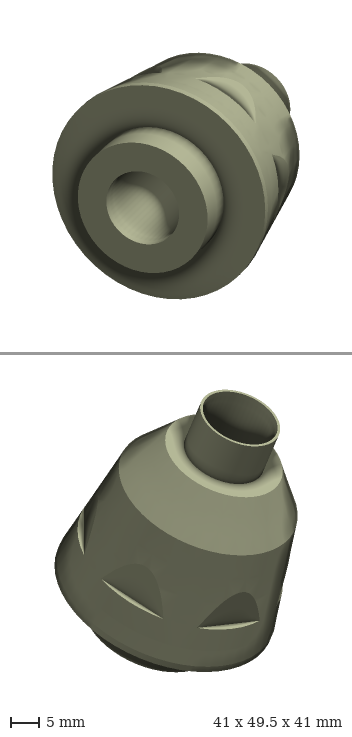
import cadquery as cq

overall_length = 49.5
spigot_length = 7.3
tail_length = 9.0
body_length = overall_length - spigot_length - tail_length
rim_width = 1.25
skirt_end = 4.5
flats_start = 9.0
shoulder_start = 24.5

bore_radius = 14.0 / 2
tail_radius = 15.0 / 2
spigot_radius = 25.0 / 2
rim_radius = 41.0 / 2
skirt_end_radius = 19.95
shoulder_radius = 16.75
body_end_radius = 11.0

flat_count = 6
across_flats = 36.0


def make_turned_body():
    """Revolve the stepped and tapered profile, bore included, about the Y axis."""
    profile = [
        (bore_radius, -spigot_length),
        (spigot_radius, -spigot_length),
        (spigot_radius, 0),
        (rim_radius, 0),
        (rim_radius, rim_width),
        (skirt_end_radius, skirt_end),
        (shoulder_radius, shoulder_start),
        (body_end_radius, body_length),
        (tail_radius, body_length),
        (tail_radius, body_length + tail_length),
        (bore_radius, body_length + tail_length),
    ]
    return cq.Workplane("XY").polyline(profile).close().revolve(360, (0, 0, 0), (0, 1, 0))


def make_flat_cutter(angle):
    """Block lying outside one wrench flat, turned about the Y axis by angle in degrees."""
    apothem = across_flats / 2
    block_width = 2 * rim_radius
    block = cq.Workplane("XY").box(
        rim_radius, shoulder_start - flats_start, block_width, centered=(False, False, True)
    )
    block = block.translate((apothem, flats_start, 0))
    return block.rotate((0, 0, 0), (0, 1, 0), angle)


result = make_turned_body()
for index in range(flat_count):
    result = result.cut(make_flat_cutter(index * 360 / flat_count))